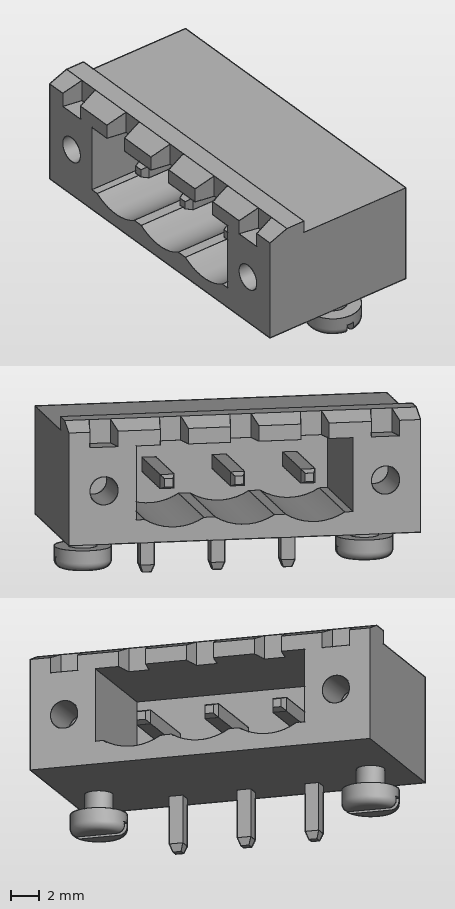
import cadquery as cq
import math


length = 25.0
depth = 12.0
height = 8.6
rear_height = 7.65
lip_depth = 3.0
lip_slope_depth = 1.5
lip_slope_drop = 0.6

pitch = 5.0
contact_count = 3
contact_xs = [(i - (contact_count - 1) / 2) * pitch for i in range(contact_count)]
flange_x = (contact_count + 1) / 2 * pitch
flange_xs = [-flange_x, flange_x]
contact_z = 3.8

cavity_width = 15.4
cavity_depth = 9.0
cavity_floor_z = 1.65
cavity_top_z = 6.9
trough_bottom_z = 1.05
trough_width = 4.2

notch_front_width = 2.0
notch_back_width = 1.5

pin_width = 1.0
pin_tip_width = 0.6
pin_tip_length = 0.55
pin_row_y = 10.0
pin_tip_y = 2.0
pin_drop = 4.0

insert_diameter = 4.0
insert_bore_diameter = 2.0
insert_depth = 4.0

screw_y = 7.5
shank_diameter = 2.0
shank_length = 1.5
head_diameter = 4.0
head_height = 1.5
head_fillet = 0.55
slot_width = 0.55
slot_depth = 0.8


def make_housing():
    """Block with a raised lip that slopes down to the mating face."""
    return (
        cq.Workplane("YZ")
        .moveTo(0, 0)
        .lineTo(depth, 0)
        .lineTo(depth, rear_height)
        .lineTo(lip_depth, rear_height)
        .lineTo(lip_depth, height)
        .lineTo(lip_slope_depth, height)
        .lineTo(0, height - lip_slope_drop)
        .close()
        .extrude(length / 2, both=True)
    )


def make_cavity():
    """Pocket from the mating face whose floor dips in an arc below each contact."""
    half_width = cavity_width / 2
    outline = cq.Workplane("XZ").moveTo(-half_width, cavity_top_z).lineTo(-half_width, cavity_floor_z)
    for x in contact_xs:
        outline = outline.lineTo(x - trough_width / 2, cavity_floor_z)
        outline = outline.threePointArc((x, trough_bottom_z), (x + trough_width / 2, cavity_floor_z))
    outline = outline.lineTo(half_width, cavity_floor_z).lineTo(half_width, cavity_top_z).close()
    return outline.extrude(-cavity_depth)


def make_notch(x):
    """Coding notch that narrows away from the mating face and cuts down to the cavity top."""
    return (
        cq.Workplane("XY", origin=(x, 0, cavity_top_z))
        .moveTo(-notch_front_width / 2, 0)
        .lineTo(notch_front_width / 2, 0)
        .lineTo(notch_back_width / 2, lip_slope_depth)
        .lineTo(-notch_back_width / 2, lip_slope_depth)
        .close()
        .extrude(height - cavity_top_z)
    )


def make_pin_leg(start, direction, leg_length):
    """Square leg from start along direction, ending in a tapered tip."""
    plane = cq.Plane(origin=start, xDir=(1, 0, 0), normal=direction)
    taper = math.degrees(math.atan2((pin_width - pin_tip_width) / 2, pin_tip_length))
    shaft = cq.Workplane(plane).rect(pin_width, pin_width).extrude(leg_length - pin_tip_length)
    tip = (
        cq.Workplane(plane)
        .workplane(offset=leg_length - pin_tip_length)
        .rect(pin_width, pin_width)
        .extrude(pin_tip_length, taper=taper)
    )
    return shaft.union(tip)


def make_pin(x):
    """Angled contact: a mating leg along -Y and a solder leg along -Z."""
    half = pin_width / 2
    mating_leg = make_pin_leg((x, pin_row_y + half, contact_z), (0, -1, 0), pin_row_y + half - pin_tip_y)
    solder_leg = make_pin_leg((x, pin_row_y, contact_z + half), (0, 0, -1), contact_z + half + pin_drop)
    return mating_leg.union(solder_leg)


def make_insert_seat(x):
    """Round seat in the flange that takes the insert."""
    return cq.Workplane("XZ", origin=(x, 0, contact_z)).circle(insert_diameter / 2).extrude(-insert_depth)


def make_insert(x):
    """Tubular insert, flush with the mating face."""
    return (
        cq.Workplane("XZ", origin=(x, 0, contact_z))
        .circle(insert_diameter / 2)
        .circle(insert_bore_diameter / 2)
        .extrude(-insert_depth)
    )


def make_screw(x):
    """Slotted screw hanging from the seating face, with a rounded head rim."""
    shank = cq.Workplane("XY", origin=(x, screw_y, 0)).circle(shank_diameter / 2).extrude(-shank_length)
    head = (
        cq.Workplane("XY", origin=(x, screw_y, -shank_length))
        .circle(head_diameter / 2)
        .extrude(-head_height)
        .faces("<Z")
        .edges()
        .fillet(head_fillet)
    )
    slot = (
        cq.Workplane("XY", origin=(x, screw_y, -shank_length - head_height))
        .rect(head_diameter, slot_width)
        .extrude(slot_depth)
    )
    return shank.union(head.cut(slot))


result = make_housing().cut(make_cavity())
for notch_x in flange_xs + contact_xs:
    result = result.cut(make_notch(notch_x))
for contact_x in contact_xs:
    result = result.union(make_pin(contact_x))
for flange_center in flange_xs:
    result = result.union(make_screw(flange_center)).cut(make_insert_seat(flange_center))
for flange_center in flange_xs:
    result = result.union(make_insert(flange_center), clean=False)